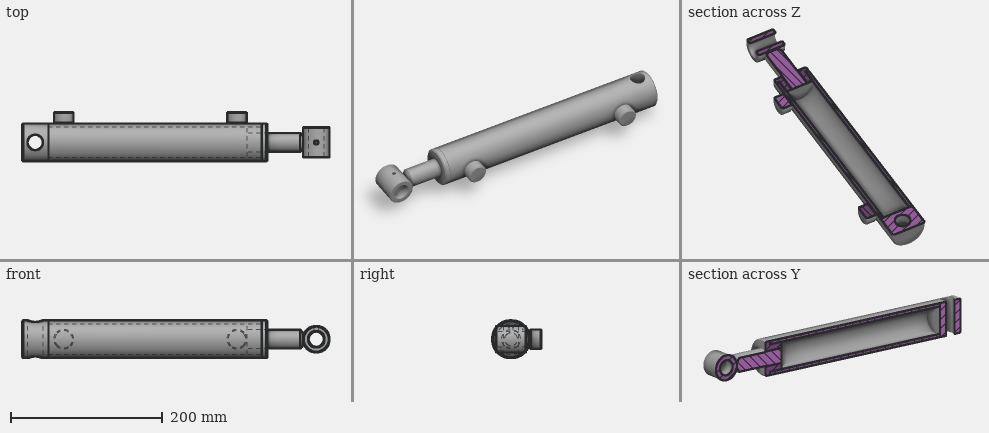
import cadquery as cq

overall_length = 405.0
barrel_diameter = 50.0
barrel_radius = barrel_diameter / 2
bore_diameter = 40.0
pin_diameter = 20.0

cap_length = 35.0
cap_chamfer = 2.0
cap_pin_x = cap_length / 2

gland_end_x = 323.0
gland_flange_length = 7.0
gland_flange_x = gland_end_x - gland_flange_length
gland_chamfer = 1.5
spigot_length = 20.0
spigot_x = gland_flange_x - spigot_length

gland_gap = 0.5
tube_end_x = gland_flange_x - gland_gap

port_diameter = 26.0
port_height = 15.0
port_chamfer = 1.5
port_positions_x = (55.0, 283.0)

eye_diameter = 35.0
eye_radius = eye_diameter / 2
eye_width = 40.0
eye_chamfer = 1.0
eye_x = overall_length - eye_radius
grease_hole_diameter = 5.5

rod_diameter = 25.0
rod_tip_chamfer = 4.0
rod_tip_seat = 0.2
rod_tip_x = eye_x - eye_radius + rod_tip_seat


def bar_along_x(start_x, end_x, diameter):
    """Round bar centred on the X axis."""
    return cq.Workplane("YZ", origin=(start_x, 0, 0)).circle(diameter / 2).extrude(end_x - start_x)


def bar_along_y(x, start_y, end_y, diameter):
    """Round bar parallel to Y, at height z = 0."""
    across = cq.Plane(origin=(x, start_y, 0), xDir=(1, 0, 0), normal=(0, 1, 0))
    return cq.Workplane(across).circle(diameter / 2).extrude(end_y - start_y)


def make_end_cap():
    cap = bar_along_x(0, cap_length, barrel_diameter)
    cap = cap.faces("<X").chamfer(cap_chamfer)
    pin_hole = cq.Workplane("XY").center(cap_pin_x, 0).circle(pin_diameter / 2)
    return cap.cut(pin_hole.extrude(barrel_radius, both=True))


def make_tube():
    tube = bar_along_x(cap_length, tube_end_x, barrel_diameter)
    return tube.cut(bar_along_x(cap_length, tube_end_x, bore_diameter))


def make_gland():
    flange = bar_along_x(gland_flange_x, gland_end_x, barrel_diameter)
    flange = flange.faces(">X").chamfer(gland_chamfer)
    gland = flange.union(bar_along_x(spigot_x, gland_flange_x, bore_diameter))
    return gland.cut(bar_along_x(spigot_x, gland_end_x, rod_diameter))


def make_rod():
    rod = bar_along_x(spigot_x, rod_tip_x, rod_diameter)
    rod = rod.faces(">X").chamfer(rod_tip_chamfer)
    return rod.cut(bar_along_y(eye_x, -eye_width / 2, eye_width / 2, eye_diameter))


def make_rod_eye():
    eye = bar_along_y(eye_x, -eye_width / 2, eye_width / 2, eye_diameter)
    eye = eye.cut(bar_along_y(eye_x, -eye_width / 2, eye_width / 2, pin_diameter))
    eye = eye.faces("|Y").edges().chamfer(eye_chamfer)
    grease_hole = cq.Workplane("XY").center(eye_x, 0).circle(grease_hole_diameter / 2)
    return eye.cut(grease_hole.extrude(eye_radius))


def make_port(x):
    port = bar_along_y(x, barrel_radius, barrel_radius + port_height, port_diameter)
    return port.faces("|Y").edges().chamfer(port_chamfer)


end_cap = make_end_cap()
tube = make_tube()
gland = make_gland()
rod = make_rod()
rod_eye = make_rod_eye()
ports = [make_port(x) for x in port_positions_x]

bodies = [end_cap, tube, gland, rod, rod_eye, *ports]
result = cq.Compound.makeCompound([body.solids().val() for body in bodies])